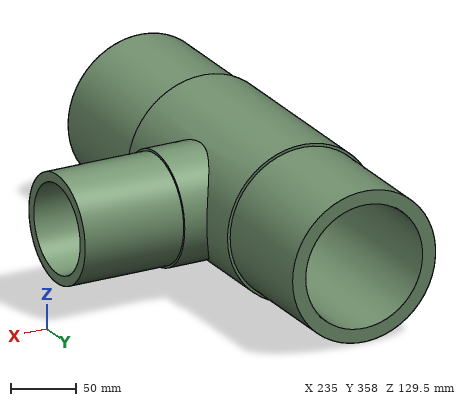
import cadquery as cq

run_length = 358.0
run_diameter = 125.0
run_bore = 102.0
run_collar_diameter = 129.5
run_collar_length = 159.0

overall_width = 235.0
branch_reach = overall_width - run_collar_diameter / 2
branch_diameter = 90.0
branch_bore = 73.7
branch_collar_diameter = 93.5
branch_collar_reach = 84.0


def run_cylinder(diameter, length):
    """Cylinder along Y, centred on the origin."""
    return cq.Workplane("XZ").circle(diameter / 2).extrude(length / 2, both=True)


def branch_cylinder(diameter, reach):
    """Cylinder along +X from the run axis."""
    return cq.Workplane("YZ").circle(diameter / 2).extrude(reach)


body = (
    run_cylinder(run_diameter, run_length)
    .union(run_cylinder(run_collar_diameter, run_collar_length))
    .union(branch_cylinder(branch_diameter, branch_reach))
    .union(branch_cylinder(branch_collar_diameter, branch_collar_reach))
)

result = (
    body
    .cut(run_cylinder(run_bore, run_length))
    .cut(branch_cylinder(branch_bore, branch_reach))
)